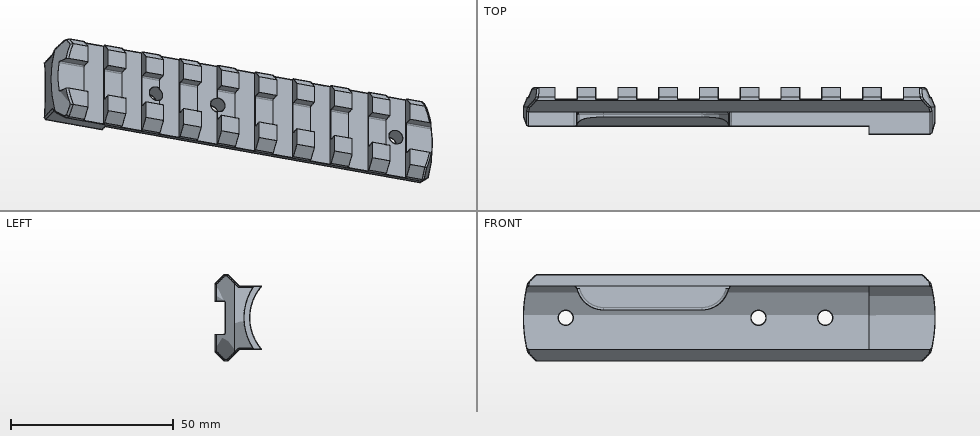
import cadquery as cq
import math

length = 126.5
depth = 14.4
rail_half_width = 13.3

top_half_width = 10.4
upper_bevel_depth = rail_half_width - top_half_width
rail_side_depth = 4.0
body_half_width = 9.7
lower_bevel_depth = rail_side_depth + rail_half_width - body_half_width

channel_half_width = 5.0
channel_depth = 3.2
channel_fillet = 0.4

slot_count = 9
slot_pitch = 12.5
slot_width = 6.7
slot_depth = 3.7

shallow_tip_depth = 12.0
shallow_crown_depth = 9.0
seat_crown_depth = 10.7
seat_start = 106.1

end_radius = 43.0
end_top_radius = 27.8
end_taper_depth = 6.1
end_setback = 2.4
end_chamfer = 0.5
end_zone = 7.6
tolerance = 0.01

relief_start = 16.3
relief_end = 63.2
relief_bottom = 2.4
relief_corner_radius = 8.3
relief_floor_depth = lower_bevel_depth
relief_fillet = 0.8
relief_mouth_radius = 0.8

hole_diameter = 4.5
hole_positions = (13.0, 72.2, 92.7)



def section(tip_depth, crown_depth, start, end):
    """Rail and body cross-section between two X stations, with a round saddle below."""
    upper = [
        (0, top_half_width),
        (-upper_bevel_depth, rail_half_width),
        (-rail_side_depth, rail_half_width),
        (-lower_bevel_depth, body_half_width),
        (-tip_depth, body_half_width),
    ]
    lower = [(y, -z) for y, z in reversed(upper[:-1])]
    return (
        cq.Workplane("YZ", origin=(start, 0, 0))
        .polyline(upper)
        .threePointArc((-crown_depth, 0), (-tip_depth, -body_half_width))
        .polyline(lower, includeCurrent=True)
        .close()
        .extrude(end - start)
    )


def end_envelope():
    """Block with bowed ends, straight below and drawn inward toward the rail top."""
    half_width = 2 * rail_half_width

    def outline(setback, radius):
        corner = setback + radius - math.sqrt(radius**2 - half_width**2)
        return (
            cq.Sketch()
            .segment((corner, -half_width), (length - corner, -half_width))
            .arc((length - corner, -half_width), (length - setback, 0), (length - corner, half_width))
            .segment((length - corner, half_width), (corner, half_width))
            .arc((corner, half_width), (setback, 0), (corner, -half_width))
            .assemble()
        )

    base = cq.Workplane("XZ", origin=(0, -end_taper_depth, 0))
    straight = base.placeSketch(outline(0, end_radius)).extrude(depth - end_taper_depth)
    tapered = base.placeSketch(
        outline(0, end_radius),
        outline(end_setback, end_top_radius).moved(cq.Location(cq.Vector(0, 0, -end_taper_depth))),
    ).loft()
    return straight.union(tapered)


def chamfer_ends(solid):
    """Chamfer where the bowed ends meet the outer faces, leaving the saddle rim sharp."""
    edges = []
    for edge in solid.edges("not |X").vals():
        centre = edge.Center()
        at_end = min(centre.x, length - centre.x) < end_zone
        on_rail_top = centre.y > -tolerance
        on_flank = abs(centre.z) > body_half_width - tolerance
        if at_end and (on_rail_top or on_flank):
            edges.append(edge)
    return solid.newObject(edges).chamfer(end_chamfer)


def rail_channel():
    return (
        cq.Workplane("XY")
        .box(length, 2 * channel_depth, 2 * channel_half_width)
        .edges("|X and <Y")
        .fillet(channel_fillet)
        .translate((length / 2, 0, 0))
    )


def cross_slots():
    first = length / 2 - slot_pitch * (slot_count - 1) / 2
    return (
        cq.Workplane("XY")
        .pushPoints([(first + i * slot_pitch, 0) for i in range(slot_count)])
        .rect(slot_width, 2 * slot_depth)
        .extrude(rail_half_width, both=True)
    )


def side_relief():
    """Opening with rounded corners, a filleted floor and mouth edges rounded off outward."""
    floor_plane = cq.Workplane("XZ", origin=(0, -relief_floor_depth, 0))
    corner_top = relief_bottom + relief_corner_radius
    opening = (
        floor_plane.moveTo(relief_start, rail_half_width)
        .lineTo(relief_start, corner_top)
        .radiusArc((relief_start + relief_corner_radius, relief_bottom), -relief_corner_radius)
        .lineTo(relief_end - relief_corner_radius, relief_bottom)
        .radiusArc((relief_end, corner_top), -relief_corner_radius)
        .lineTo(relief_end, rail_half_width)
        .close()
        .extrude(depth)
        .faces(">Y")
        .edges("not >Z")
        .fillet(relief_fillet)
    )

    mouth_start = relief_start - relief_mouth_radius
    mouth_end = relief_end + relief_mouth_radius
    mouth_bottom = body_half_width - relief_mouth_radius
    mouth = (
        floor_plane.moveTo(mouth_start, mouth_bottom)
        .rect(mouth_end - mouth_start, relief_mouth_radius, centered=False)
        .extrude(depth)
    )
    rounds = (
        floor_plane.pushPoints([(mouth_start, mouth_bottom), (mouth_end, mouth_bottom)])
        .circle(relief_mouth_radius)
        .extrude(depth)
    )
    return opening.union(mouth.cut(rounds))


def screw_holes():
    return (
        cq.Workplane("XZ")
        .pushPoints([(x, 0) for x in hole_positions])
        .circle(hole_diameter / 2)
        .extrude(depth)
    )


body = section(shallow_tip_depth, shallow_crown_depth, 0, seat_start)
body = body.union(section(depth, seat_crown_depth, seat_start, length))
body = body.intersect(end_envelope())
body = chamfer_ends(body)
result = body.cut(rail_channel()).cut(cross_slots()).cut(side_relief()).cut(screw_holes())